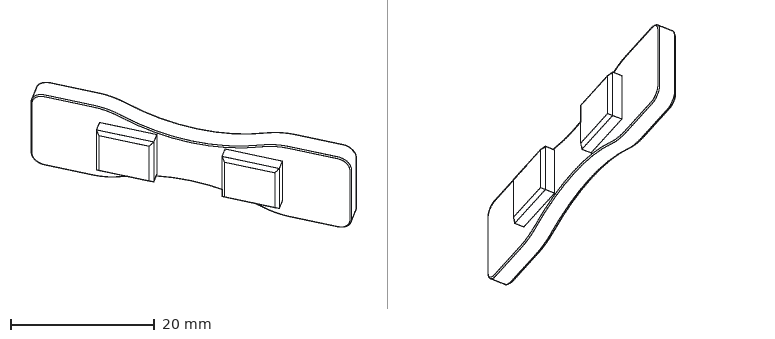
import cadquery as cq
import math

plate_length = 46.5
plate_height = 14.1
plate_thickness = 3.0
corner_radius = 2.0
waist_depth = 3.0
waist_radius = 25.0
shoulder_radius = 10.0
back_chamfer = 0.4
front_chamfer = 0.2

pad_length = 8.32
pad_height = 8.05
pad_thickness = 2.0
pad_chamfer = 0.5
pad_spacing = 18.25

half_length = plate_length / 2
half_height = plate_height / 2

arc_sum = waist_radius + shoulder_radius
slope_angle = math.acos(1 - waist_depth / arc_sum)
waist_height = half_height - waist_depth
shoulder_x = arc_sum * math.sin(slope_angle)
join_x = waist_radius * math.sin(slope_angle)
join_z = waist_height + waist_radius * (1 - math.cos(slope_angle))
mid_shoulder_x = shoulder_x - shoulder_radius * math.sin(slope_angle / 2)
mid_shoulder_z = half_height - shoulder_radius * (1 - math.cos(slope_angle / 2))


def add_waisted_edge(outline, side):
    """Draw one long edge; side is +1 for the top (left to right), -1 for the bottom (right to left)."""
    return (
        outline.lineTo(-side * shoulder_x, side * half_height)
        .threePointArc((-side * mid_shoulder_x, side * mid_shoulder_z), (-side * join_x, side * join_z))
        .threePointArc((0, side * waist_height), (side * join_x, side * join_z))
        .threePointArc((side * mid_shoulder_x, side * mid_shoulder_z), (side * shoulder_x, side * half_height))
        .lineTo(side * half_length, side * half_height)
    )


def make_plate():
    """Plate with its front face on Y = 0 and its back face at +Y."""
    outline = cq.Workplane("XZ").moveTo(-half_length, half_height)
    outline = add_waisted_edge(outline, 1).lineTo(half_length, -half_height)
    outline = add_waisted_edge(outline, -1).close()
    plate = outline.extrude(-plate_thickness)

    plate = plate.edges("|Y").edges("<X or >X").fillet(corner_radius)
    plate = plate.faces(">Y").chamfer(back_chamfer)
    return plate.faces("<Y").chamfer(front_chamfer)


def make_pad(center_x):
    """Rectangular pad on the front face with a chamfered outer rim."""
    pad = cq.Workplane("XZ").center(center_x, 0).rect(pad_length, pad_height).extrude(pad_thickness)
    return pad.faces("<Y").chamfer(pad_chamfer)


result = make_plate()
for side in (-1, 1):
    result = result.union(make_pad(side * pad_spacing / 2))